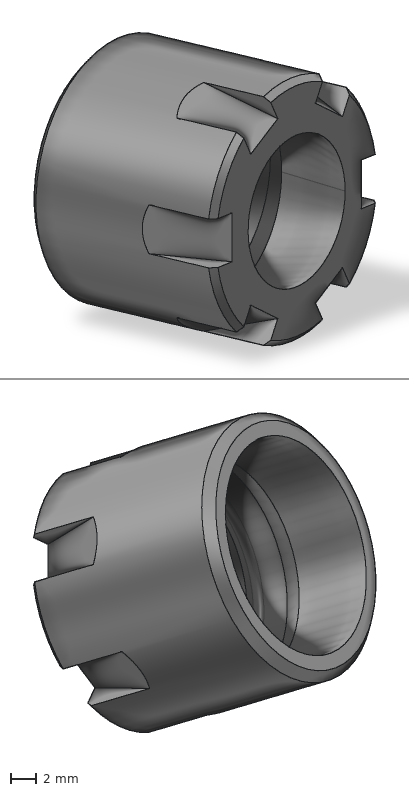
import cadquery as cq
import math

length = 18.4
outer_radius = 11.0
rear_chamfer = 0.8
front_chamfer = 0.53

bore_radius = 8.98
bore_end = 6.8
relief_radius = 9.57
relief_start = 8.47
relief_floor = 11.45
floor_fillet = 0.6

seat_half_width = 7.65
seat_half_height = 8.3
seat_offset = 0.5
hole_radius = 6.34

slot_count = 6
slot_width = 4.07
slot_start = 11.4
slot_slope = 20.0


def make_body():
    blank = cq.Workplane("YZ").circle(outer_radius).extrude(length)
    blank = blank.faces("<X").chamfer(rear_chamfer)
    return blank.faces(">X").chamfer(front_chamfer)


def make_bore():
    fillet_start = relief_floor - floor_fillet
    fillet_middle = (
        fillet_start + floor_fillet * math.sin(math.radians(45)),
        relief_radius - floor_fillet * (1 - math.cos(math.radians(45))),
    )
    return (
        cq.Workplane("XY")
        .lineTo(0, bore_radius)
        .lineTo(bore_end, bore_radius)
        .lineTo(relief_start, relief_radius)
        .lineTo(fillet_start, relief_radius)
        .threePointArc(fillet_middle, (relief_floor, relief_radius - floor_fillet))
        .lineTo(relief_floor, 0)
        .close()
        .revolve(360, (0, 0, 0), (1, 0, 0))
    )


def make_seat():
    return (
        cq.Workplane("YZ", origin=(relief_floor, 0, 0))
        .center(-seat_offset, 0)
        .ellipse(seat_half_width, seat_half_height)
        .workplane(offset=length - relief_floor)
        .center(seat_offset, 0)
        .circle(hole_radius)
        .loft(combine=True)
    )


def make_slot(angle):
    depth = (length - slot_start) * math.tan(math.radians(slot_slope))
    wedge = (
        cq.Workplane("XZ")
        .moveTo(slot_start, outer_radius)
        .lineTo(length, outer_radius - depth)
        .lineTo(length, outer_radius)
        .close()
        .extrude(slot_width / 2, both=True)
    )
    return wedge.rotate((0, 0, 0), (1, 0, 0), angle)


result = make_body().cut(make_bore()).cut(make_seat())
for index in range(slot_count):
    result = result.cut(make_slot(90 + index * 360 / slot_count))